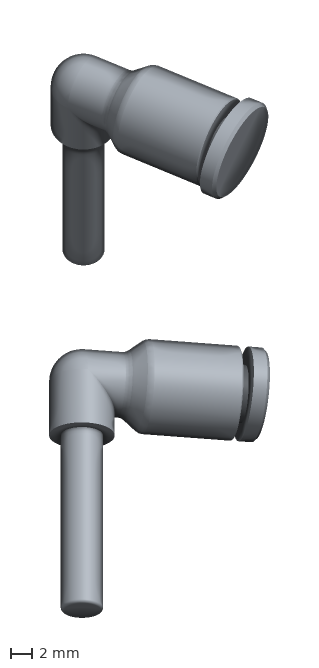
import cadquery as cq

elbow_radius = 3.1
sleeve_length = 5.5

stem_radius = 2.0
stem_length = 18.0
stem_end_radius = 0.3

socket_radius = 4.5
cone_start = 4.0
cone_end = 5.8
socket_end = 14.7
cone_blend_radius = 1.0
socket_edge_chamfer = 0.1

collar_radius = 2.75
flange_start = 15.5
flange_end = 17.1
flange_half_width = 5.4
flange_half_height = 4.3
flange_chamfer = 0.3


def make_elbow():
    """Vertical sleeve with a ball rounding the outer corner of the elbow."""
    sleeve = cq.Workplane("XY").circle(elbow_radius).extrude(-sleeve_length)
    corner_ball = cq.Workplane("XY").sphere(elbow_radius)
    return sleeve.union(corner_ball)


def make_stem():
    """Slim plug-in stem below the sleeve, rounded at its free end."""
    return (
        cq.Workplane("XY")
        .workplane(offset=-sleeve_length)
        .circle(stem_radius)
        .extrude(-stem_length)
        .faces("<Z")
        .fillet(stem_end_radius)
    )


def make_socket():
    """Round neck that widens through a blended cone into the socket barrel."""
    body = (
        cq.Workplane("XZ")
        .polyline([
            (0, 0),
            (0, elbow_radius),
            (cone_start, elbow_radius),
            (cone_end, socket_radius),
            (socket_end, socket_radius),
            (socket_end, 0),
        ])
        .close()
        .revolve(360, (0, 0, 0), (1, 0, 0))
    )
    body = body.faces(">X").chamfer(socket_edge_chamfer)
    neck_edge = cq.selectors.NearestToPointSelector((cone_start, 0, 0))
    barrel_edge = cq.selectors.NearestToPointSelector((cone_end, 0, 0))
    cone_edges = body.edges("%CIRCLE").edges(neck_edge + barrel_edge)
    return body.newObject(cone_edges.vals()).fillet(cone_blend_radius)


def make_release_collar():
    """Short round collar carrying the oval push flange."""
    collar = (
        cq.Workplane("YZ")
        .workplane(offset=socket_end)
        .circle(collar_radius)
        .extrude(flange_start - socket_end)
    )
    flange = (
        cq.Workplane("YZ")
        .workplane(offset=flange_start)
        .ellipse(flange_half_width, flange_half_height)
        .extrude(flange_end - flange_start)
        .faces(">X")
        .chamfer(flange_chamfer)
    )
    return collar.union(flange)


result = make_elbow().union(make_stem()).union(make_socket()).union(make_release_collar())